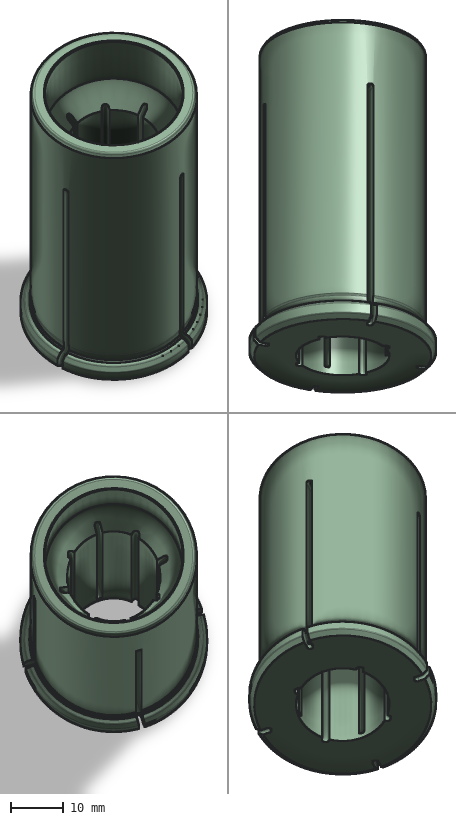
import cadquery as cq

height = 64.0
body_radius = 16.0
bore_radius = 13.25
hole_radius = 8.95
rim_chamfer_width = 0.5
rim_chamfer_height = 0.8
rim_rounding = 0.5
bore_chamfer = 0.2

cone_top = 53.1
cone_bottom = cone_top - (bore_radius - hole_radius)

flange_radius = 18.0
flange_height = 3.9
flange_bottom_chamfer = 0.95
flange_top_chamfer = 0.8
flange_rounding = 0.25
relief_radius = 15.9
relief_top = 6.0
relief_taper = 0.45
relief_corner = 0.4

slot_count = 4
slot_width = 1.15
slot_bottom = 1.5
slot_top = 50.7
notch_floor_radius = 15.05

groove_width = 1.5
groove_outer_radius = 9.85

edge_tolerance = 0.005

quarter_angles = [i * 360 / slot_count for i in range(slot_count)]
half_step = 180 / slot_count


def round_circle(body, radius, level, rounding):
    """Fillet the circular edge of the given radius lying at the given height."""
    def is_target(edge):
        same_level = abs(edge.Center().z - level) < edge_tolerance
        return edge.geomType() == "CIRCLE" and same_level and abs(edge.radius() - radius) < edge_tolerance

    edges = [edge for edge in body.edges().vals() if is_target(edge)]
    return body.newObject(edges).fillet(rounding)


def make_sleeve():
    """Revolve the wall section, including flange, relief and conical floor."""
    section = [
        (hole_radius, 0),
        (flange_radius - flange_bottom_chamfer, 0),
        (flange_radius, flange_bottom_chamfer),
        (flange_radius, flange_height - flange_top_chamfer),
        (flange_radius - flange_top_chamfer, flange_height),
        (relief_radius + relief_corner, flange_height),
        (relief_radius, flange_height + relief_corner),
        (relief_radius, relief_top - relief_taper),
        (body_radius, relief_top),
        (body_radius, height - rim_chamfer_height),
        (body_radius - rim_chamfer_width, height),
        (bore_radius + bore_chamfer, height),
        (bore_radius, height - bore_chamfer),
        (bore_radius, cone_top),
        (hole_radius, cone_bottom),
    ]
    sleeve = cq.Workplane("XZ").polyline(section).close().revolve(360, (0, 0), (0, 1))
    sleeve = round_circle(sleeve, body_radius - rim_chamfer_width, height, rim_rounding)
    flange_edges = [
        (flange_radius, flange_bottom_chamfer),
        (flange_radius, flange_height - flange_top_chamfer),
        (flange_radius - flange_top_chamfer, flange_height),
    ]
    for radius, level in flange_edges:
        sleeve = round_circle(sleeve, radius, level, flange_rounding)
    return sleeve


def make_slot():
    """Round-ended radial slot toward +X."""
    return (
        cq.Workplane("YZ")
        .center(0, (slot_bottom + slot_top) / 2)
        .slot2D(slot_top - slot_bottom, slot_width, 90)
        .extrude(flange_radius)
    )


def make_channel(inner_end, outer_end, width, depth, round_at):
    """Upright radial channel toward +X, from Z = 0 to depth, with a round end centred at round_at."""
    length = outer_end - inner_end
    channel = cq.Workplane().center(inner_end + length / 2, 0).rect(length, width).extrude(depth)
    end = cq.Workplane().center(round_at, 0).circle(width / 2).extrude(depth)
    return channel.union(end)


def make_flange_notch():
    """Notch that carries a slot down through the flange rim, with a concave floor."""
    round_center = notch_floor_radius + slot_width / 2
    return make_channel(round_center, flange_radius, slot_width, flange_height, round_center)


def make_hole_groove():
    """Full-length round-bottomed groove in the hole wall."""
    round_center = groove_outer_radius - groove_width / 2
    return make_channel(0, round_center, groove_width, height, round_center)


result = make_sleeve()
for angle in quarter_angles:
    for cutter in (make_slot(), make_flange_notch()):
        result = result.cut(cutter.rotate((0, 0, 0), (0, 0, 1), angle))
    result = result.cut(make_hole_groove().rotate((0, 0, 0), (0, 0, 1), angle + half_step))